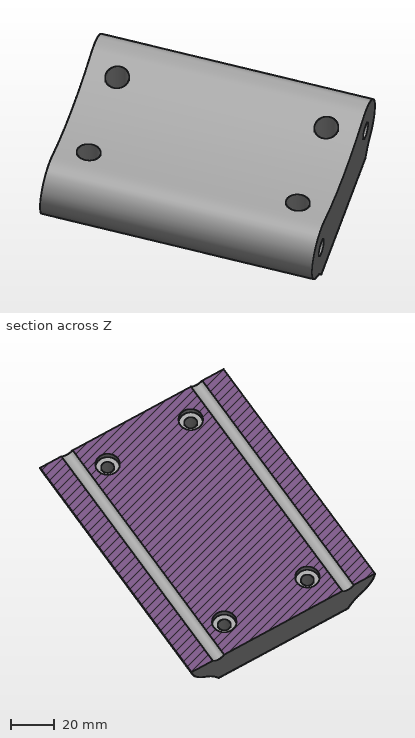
import cadquery as cq
import math

length = 130.0
width = 100.0
height = 35.4

lobe_radius = 15.0
saddle_radius = 116.0
flank_radius = 20.0
lobe_y = width / 2 - lobe_radius
lobe_z = height - lobe_radius
base_half_width = lobe_y

lobe_hole_diameter = 8.0
screw_spacing_x = 100.0
screw_spacing_y = 45.0
screw_diameter = 6.0
counterbore_diameter = 11.0
counterbore_floor_z = 15.0


def mirrored(point):
    """Reflect a (y, z) point across the middle of the section."""
    return (-point[0], point[1])


def point_toward(start, target, distance):
    """Return the point at a given distance from start on the line to target."""
    fraction = distance / math.dist(start, target)
    return tuple(a + (b - a) * fraction for a, b in zip(start, target))


def make_body():
    lobe_center = (lobe_y, lobe_z)

    saddle_center = (0, lobe_z + math.sqrt((lobe_radius + saddle_radius) ** 2 - lobe_y**2))
    saddle_end = point_toward(lobe_center, saddle_center, lobe_radius)
    saddle_bottom = (0, saddle_center[1] - saddle_radius)

    base_corner = (base_half_width, 0)
    reach = lobe_radius + flank_radius
    flank_z = (lobe_z**2 + flank_radius**2 - reach**2) / (2 * lobe_z)
    flank_center = (base_half_width + math.sqrt(flank_radius**2 - flank_z**2), flank_z)
    flank_top = point_toward(lobe_center, flank_center, lobe_radius)
    flank_chord_middle = ((base_corner[0] + flank_top[0]) / 2, (base_corner[1] + flank_top[1]) / 2)
    flank_middle = point_toward(flank_center, flank_chord_middle, flank_radius)
    lobe_outer = (width / 2, lobe_z)

    return (
        cq.Workplane("YZ")
        .moveTo(*mirrored(base_corner))
        .lineTo(*base_corner)
        .threePointArc(flank_middle, flank_top)
        .threePointArc(lobe_outer, saddle_end)
        .threePointArc(saddle_bottom, mirrored(saddle_end))
        .threePointArc(mirrored(lobe_outer), mirrored(flank_top))
        .threePointArc(mirrored(flank_middle), mirrored(base_corner))
        .close()
        .extrude(length / 2, both=True)
    )


def make_lobe_holes():
    """Lengthwise through holes, one at each lobe center."""
    return (
        cq.Workplane("YZ")
        .pushPoints([(-lobe_y, lobe_z), (lobe_y, lobe_z)])
        .circle(lobe_hole_diameter / 2)
        .extrude(length / 2, both=True)
    )


def make_vertical_holes(diameter, floor_z):
    """Four vertical cylinders from floor_z up to the top of the block."""
    return (
        cq.Workplane("XY", origin=(0, 0, floor_z))
        .rarray(screw_spacing_x, screw_spacing_y, 2, 2)
        .circle(diameter / 2)
        .extrude(height - floor_z)
    )


result = (
    make_body()
    .cut(make_lobe_holes())
    .cut(make_vertical_holes(screw_diameter, 0))
    .cut(make_vertical_holes(counterbore_diameter, counterbore_floor_z))
)